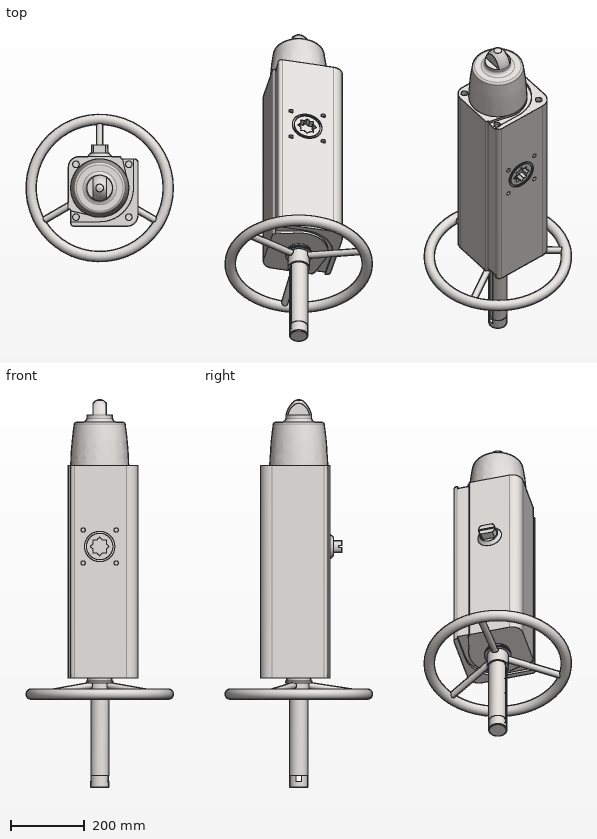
import cadquery as cq
import math

TOTAL_HEIGHT = 1052.0
HOUSING_BOTTOM = 297.0
HOUSING_TOP = 873.0
HOUSING_HEIGHT = HOUSING_TOP - HOUSING_BOTTOM
SHAFT_LEVEL = 654.0

NEAR_SIDE = 85.0
FAR_SIDE = 104.0
STEP_START = 58.0
STEP_DEPTH = 6.0
PANEL_SIDE = NEAR_SIDE - STEP_DEPTH
NEAR_CORNER_RADIUS = 29.0
FAR_CORNER_RADIUS = 32.0
PANEL_CORNER_RADIUS = 10.0
STEP_RADIUS = 2.6

RECESS_DEPTH = 7.0
RECESS_RADIUS = 92.0
RECESS_INNER = (32.0, 73.0)

SCREW_NEAR = 64.0
SCREW_FAR = 79.0
SCREW_DIAMETER = 18.0
SCREW_DEPTH = 9.0

CAP_BASE_RADIUS = 79.0
CAP_MIDDLE_RADIUS = 76.0
CAP_MIDDLE_LEVEL = 930.0
CAP_TOP_RADIUS = 68.0
CAP_TOP = 990.0
CAP_EDGE_RADIUS = 6.0
INDICATOR_FOOT_RADIUS = 45.0
FLARE_MIDDLE_RADIUS = 38.0
FLARE_MIDDLE_LEVEL = 995.0
INDICATOR_COLLAR_RADIUS = 35.0
INDICATOR_COLLAR_BOTTOM = 1001.0
FIN_BOTTOM = 1010.0
FIN_WIDTH = 37.0
FIN_MIDDLE_RADIUS = 24.0
FIN_MIDDLE_LEVEL = 1035.0
TIP_RADIUS = 10.0
TIP_HEIGHT = 3.0

GROOVE_OUTER_DIAMETER = 82.0
GROOVE_INNER_DIAMETER = 72.0
GROOVE_DEPTH = 2.0
SOCKET_SQUARE = 36.0
SOCKET_DEPTH = 21.0
MOUNT_HOLE_DIAMETER = 12.0
MOUNT_HOLE_DEPTH = 10.0
MOUNT_HOLE_SPACING = 89.0

SHAFT_FLANGE_DIAMETER = 66.0
SHAFT_FLANGE_TOP_DIAMETER = 49.0
SHAFT_FLANGE_HEIGHT = 9.0
SHAFT_DIAMETER = 45.0
SHAFT_FLATS = 32.0
SHAFT_LENGTH = 32.0
SHAFT_SLOT_WIDTH = 4.0
SHAFT_SLOT_DEPTH = 8.0

WHEEL_DIAMETER = 400.0
RIM_DIAMETER = 28.0
RIM_LEVEL = 254.0
RIM_RADIUS = (WHEEL_DIAMETER - RIM_DIAMETER) / 2
NECK_DIAMETER = 66.0
COLLAR_DIAMETER = 72.0
COLLAR_TOP = 289.0
COLLAR_BOTTOM = 283.0
HUB_DIAMETER = 58.0
HUB_BOTTOM = 240.0
SPOKE_DIAMETER = 18.0
SPOKE_COUNT = 3
SPOKE_INNER_RADIUS = 21.0
SPOKE_INNER_LEVEL = 278.0
SPOKE_OUTER_LEVEL = 253.0

STEM_DIAMETER = 50.0
STEM_END_DIAMETER = 49.0
STEM_END_LENGTH = 33.0
STEM_CHAMFER = 2.0
STEM_GROOVE_FLOOR_DIAMETER = 45.0
STEM_SLOT_WIDTH = 15.0
STEM_SLOT_BOTTOM = 17.0


def housing_block():
    """Prism whose -X and +Y faces step inwards to a panel near the outer corners."""
    block = (
        cq.Workplane("XY").workplane(offset=HOUSING_BOTTOM)
        .polyline([
            (-NEAR_SIDE, NEAR_SIDE),
            (-NEAR_SIDE, -STEP_START),
            (-PANEL_SIDE, -STEP_START),
            (-PANEL_SIDE, -FAR_SIDE),
            (FAR_SIDE, -FAR_SIDE),
            (FAR_SIDE, PANEL_SIDE),
            (STEP_START, PANEL_SIDE),
            (STEP_START, NEAR_SIDE),
        ]).close().extrude(HOUSING_HEIGHT)
    )
    rounded_edges = [
        (-NEAR_SIDE, NEAR_SIDE, NEAR_CORNER_RADIUS),
        (FAR_SIDE, -FAR_SIDE, FAR_CORNER_RADIUS),
        (-PANEL_SIDE, -FAR_SIDE, PANEL_CORNER_RADIUS),
        (FAR_SIDE, PANEL_SIDE, PANEL_CORNER_RADIUS),
        (-NEAR_SIDE, -STEP_START, STEP_RADIUS),
        (-PANEL_SIDE, -STEP_START, STEP_RADIUS),
        (STEP_START, NEAR_SIDE, STEP_RADIUS),
        (STEP_START, PANEL_SIDE, STEP_RADIUS),
    ]
    middle = (HOUSING_BOTTOM + HOUSING_TOP) / 2
    for x, y, radius in rounded_edges:
        edge = cq.selectors.NearestToPointSelector((x, y, middle))
        block = block.edges("|Z").edges(edge).fillet(radius)
    return block


def end_recess(floor_level):
    """Crescent around the cap, open at both stepped panels."""
    inner_x, inner_y = RECESS_INNER
    arc_middle = RECESS_RADIUS * math.sqrt(0.5)
    inner_middle = math.hypot(inner_x, inner_y) * math.sqrt(0.5)
    step_edge = STEP_START + STEP_RADIUS
    return (
        cq.Workplane("XY").workplane(offset=floor_level)
        .moveTo(-NEAR_SIDE, -step_edge)
        .lineTo(-NEAR_SIDE, -RECESS_RADIUS)
        .lineTo(0, -RECESS_RADIUS)
        .threePointArc((arc_middle, -arc_middle), (RECESS_RADIUS, 0))
        .lineTo(RECESS_RADIUS, NEAR_SIDE)
        .lineTo(step_edge, NEAR_SIDE)
        .lineTo(inner_y, inner_x)
        .threePointArc((inner_middle, -inner_middle), (-inner_x, -inner_y))
        .close().extrude(RECESS_DEPTH)
    )


def screw_holes():
    """Blind holes in the corners of the top face, below the recess where it reaches them."""
    centers = []
    for x in (-SCREW_NEAR, SCREW_FAR):
        for y in (SCREW_NEAR, -SCREW_FAR):
            centers.append((x, y))
    return (
        cq.Workplane("XY").workplane(offset=HOUSING_TOP)
        .pushPoints(centers).circle(SCREW_DIAMETER / 2).extrude(-RECESS_DEPTH - SCREW_DEPTH)
    )


def spring_cap():
    """Round cap with a slightly bulged taper and a rounded top edge."""
    cap = (
        cq.Workplane("XZ")
        .moveTo(0, HOUSING_TOP)
        .lineTo(CAP_BASE_RADIUS, HOUSING_TOP)
        .threePointArc((CAP_MIDDLE_RADIUS, CAP_MIDDLE_LEVEL), (CAP_TOP_RADIUS, CAP_TOP))
        .lineTo(0, CAP_TOP)
        .close().revolve(360, (0, 0, 0), (0, 1, 0))
    )
    return cap.faces(">Z").edges().fillet(CAP_EDGE_RADIUS)


def position_indicator():
    """Flared round foot carrying a domed fin that is flat on both X sides."""
    indicator = (
        cq.Workplane("XZ")
        .moveTo(0, CAP_TOP)
        .lineTo(INDICATOR_FOOT_RADIUS, CAP_TOP)
        .threePointArc(
            (FLARE_MIDDLE_RADIUS, FLARE_MIDDLE_LEVEL),
            (INDICATOR_COLLAR_RADIUS, INDICATOR_COLLAR_BOTTOM),
        )
        .lineTo(INDICATOR_COLLAR_RADIUS, FIN_BOTTOM)
        .threePointArc((FIN_MIDDLE_RADIUS, FIN_MIDDLE_LEVEL), (TIP_RADIUS, TOTAL_HEIGHT - TIP_HEIGHT))
        .lineTo(0, TOTAL_HEIGHT)
        .close()
    )
    indicator = indicator.revolve(360, (0, 0, 0), (0, 1, 0))
    for side in (-1, 1):
        beside_fin = (
            cq.Workplane("XY").workplane(offset=FIN_BOTTOM)
            .center(side * (FIN_WIDTH / 2 + INDICATOR_COLLAR_RADIUS), 0)
            .rect(2 * INDICATOR_COLLAR_RADIUS, 2 * INDICATOR_COLLAR_RADIUS)
            .extrude(TOTAL_HEIGHT - FIN_BOTTOM)
        )
        indicator = indicator.cut(beside_fin)
    return indicator


def shaft_socket():
    """Cutter for the eight-pointed socket and the ring groove around it."""
    face = cq.Workplane("XZ", origin=(0, -FAR_SIDE, SHAFT_LEVEL))
    groove = (
        face.circle(GROOVE_OUTER_DIAMETER / 2).circle(GROOVE_INNER_DIAMETER / 2)
        .extrude(-GROOVE_DEPTH)
    )
    square = face.rect(SOCKET_SQUARE, SOCKET_SQUARE).extrude(-SOCKET_DEPTH)
    turned_square = square.rotate((0, 0, SHAFT_LEVEL), (0, 1, SHAFT_LEVEL), 45)
    return groove.union(square).union(turned_square)


def mounting_holes():
    """Four blind holes around the socket."""
    return (
        cq.Workplane("XZ", origin=(0, -FAR_SIDE, SHAFT_LEVEL))
        .rect(MOUNT_HOLE_SPACING, MOUNT_HOLE_SPACING, forConstruction=True).vertices()
        .circle(MOUNT_HOLE_DIAMETER / 2).extrude(-MOUNT_HOLE_DEPTH)
    )


def shaft_end():
    """Conical flange and a slotted shaft end with two flats."""
    face = cq.Workplane("XZ", origin=(0, NEAR_SIDE, SHAFT_LEVEL))
    flange = (
        face.circle(SHAFT_FLANGE_DIAMETER / 2)
        .workplane(offset=-SHAFT_FLANGE_HEIGHT).circle(SHAFT_FLANGE_TOP_DIAMETER / 2).loft()
    )
    flats = face.rect(SHAFT_DIAMETER, SHAFT_FLATS).extrude(-SHAFT_LENGTH)
    shaft = face.circle(SHAFT_DIAMETER / 2).extrude(-SHAFT_LENGTH).intersect(flats)
    slot = (
        face.workplane(offset=-SHAFT_LENGTH)
        .rect(SHAFT_DIAMETER, SHAFT_SLOT_WIDTH).extrude(SHAFT_SLOT_DEPTH)
    )
    return flange.union(shaft.cut(slot))


def make_housing():
    """Actuator housing with cap, indicator and output shaft ends."""
    housing = housing_block()
    housing = housing.cut(end_recess(HOUSING_TOP - RECESS_DEPTH))
    housing = housing.cut(end_recess(HOUSING_BOTTOM))
    housing = housing.cut(screw_holes())
    housing = housing.union(spring_cap()).union(position_indicator())
    housing = housing.cut(shaft_socket()).cut(mounting_holes())
    return housing.union(shaft_end())


def wheel_hub():
    """Round hub with a collar; its neck meets the underside of the housing."""
    neck = (
        cq.Workplane("XY").workplane(offset=COLLAR_TOP)
        .circle(NECK_DIAMETER / 2).extrude(HOUSING_BOTTOM - COLLAR_TOP)
    )
    collar = (
        cq.Workplane("XY").workplane(offset=COLLAR_BOTTOM)
        .circle(COLLAR_DIAMETER / 2).extrude(COLLAR_TOP - COLLAR_BOTTOM)
    )
    hub = (
        cq.Workplane("XY").workplane(offset=HUB_BOTTOM)
        .circle(HUB_DIAMETER / 2).extrude(COLLAR_BOTTOM - HUB_BOTTOM)
    )
    return hub.union(collar).union(neck)


def wheel_rim():
    """Round-section ring."""
    rim = cq.Solid.makeTorus(RIM_RADIUS, RIM_DIAMETER / 2, cq.Vector(0, 0, RIM_LEVEL))
    return cq.Workplane(obj=rim)


def wheel_spoke(angle):
    """Round bar sloping down from the hub to the middle of the rim."""
    start = cq.Vector(SPOKE_INNER_RADIUS, 0, SPOKE_INNER_LEVEL)
    end = cq.Vector(RIM_RADIUS, 0, SPOKE_OUTER_LEVEL)
    bar = cq.Solid.makeCylinder(SPOKE_DIAMETER / 2, (end - start).Length, start, end - start)
    return cq.Workplane(obj=bar).rotate((0, 0, 0), (0, 0, 1), angle)


def stem():
    """Stem with a groove along its -X side that ends in a cross hole."""
    end = cq.Workplane("XY").circle(STEM_END_DIAMETER / 2).extrude(STEM_END_LENGTH)
    end = end.faces("<Z").chamfer(STEM_CHAMFER)
    bar = (
        cq.Workplane("XY").workplane(offset=STEM_END_LENGTH)
        .circle(STEM_DIAMETER / 2).extrude(HUB_BOTTOM - STEM_END_LENGTH)
    )
    groove = (
        cq.Workplane("XY").workplane(offset=STEM_END_LENGTH)
        .center(-STEM_DIAMETER / 2, 0).rect(STEM_DIAMETER, STEM_SLOT_WIDTH)
        .extrude(HUB_BOTTOM - STEM_END_LENGTH)
    )
    core = (
        cq.Workplane("XY").workplane(offset=STEM_END_LENGTH)
        .circle(STEM_GROOVE_FLOOR_DIAMETER / 2).extrude(HUB_BOTTOM - STEM_END_LENGTH)
    )
    cross_hole = (
        cq.Workplane("XY").workplane(offset=STEM_SLOT_BOTTOM)
        .rect(STEM_DIAMETER, STEM_SLOT_WIDTH).extrude(STEM_END_LENGTH - STEM_SLOT_BOTTOM)
    )
    return bar.cut(groove.cut(core)).union(end.cut(cross_hole))


def make_handwheel():
    """Handwheel in one piece with its stem."""
    handwheel = wheel_hub().union(wheel_rim()).union(stem())
    for index in range(SPOKE_COUNT):
        handwheel = handwheel.union(wheel_spoke(90 + index * 360 / SPOKE_COUNT))
    return handwheel


housing = make_housing()
handwheel = make_handwheel()

result = cq.Compound.makeCompound([housing.val(), handwheel.val()])